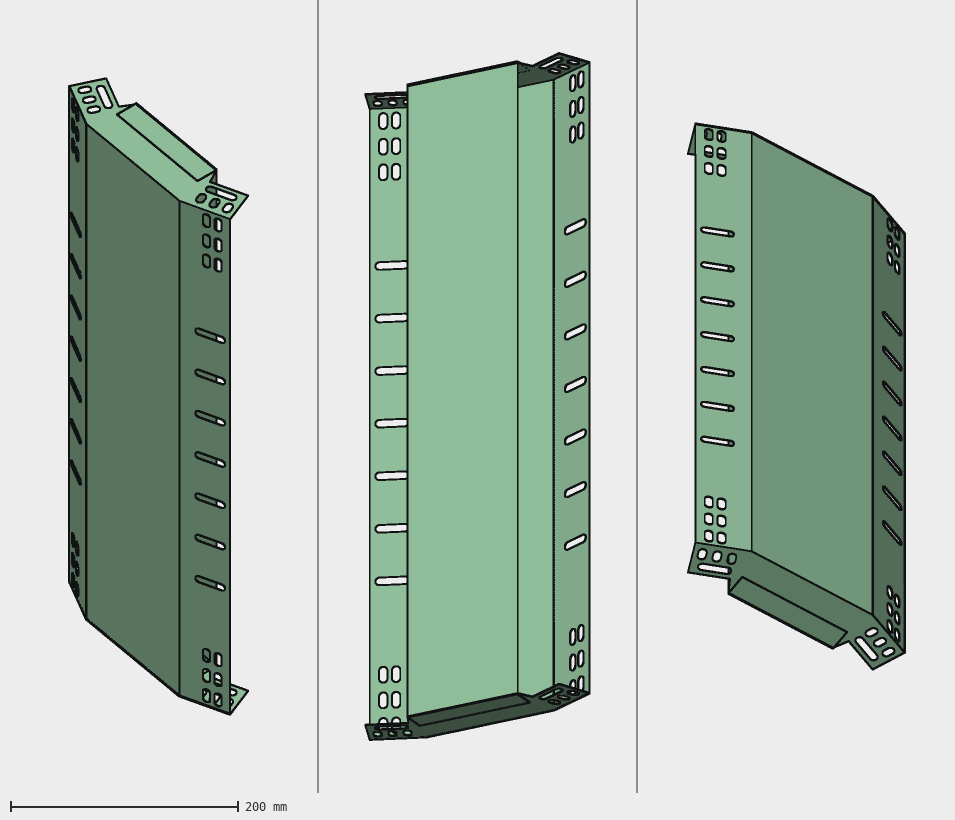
import cadquery as cq
import math

total_height = 603.0
sheet = 0.85
tray_height = total_height - 2 * sheet
wing_angle = 22.5
wing_width = 50.5
wing_wall_depth = 34.5
overall_width = 222.0

tilt = math.radians(wing_angle)
tip_x = overall_width / 2
tip_y = wing_width * math.sin(tilt)
bend_x = tip_x - wing_width * math.cos(tilt)
inner_bend_x = bend_x - sheet * math.tan(tilt / 2)

wing_wall_length = 38.0
wall_top_half_width = 55.5

cover_back = 50.5
cover_width = 111.0
cover_flange_depth = 22.5
wall_top = cover_back - sheet

slot_width = 7.0
long_slot_length = 29.5
wing_short_slot_length = 15.0
wall_short_slot_length = 11.5

wing_long_slot_inset = 20.0
wing_long_slot_count = 7
wing_long_slot_pitch = 50.0
wing_short_slot_insets = (12.0, 23.5)
wing_short_slot_rows = 3
wing_short_slot_span = 49.0
wing_short_slot_pitch = wing_short_slot_span / (wing_short_slot_rows - 1)
wing_short_slot_end_gap = 12.5

wall_long_slot_inset = 22.5
wall_long_slot_depth = 26.0
wall_short_slot_inset = 8.5
wall_short_slot_count = 3
wall_short_slot_pitch = 13.0
wall_short_slot_depth = 12.0


def wing_point(inset, depth):
    """Point on the +X wing: inset from the tip along the wing, depth square to its outer face."""
    x = tip_x - inset * math.cos(tilt) - depth * math.sin(tilt)
    y = tip_y - inset * math.sin(tilt) + depth * math.cos(tilt)
    return (x, y)


def mirrored_outline(half_points):
    """Closed outline from the points of its +X half and their mirror images."""
    return half_points + [(-x, y) for x, y in reversed(half_points)]


def extrude_outline(half_points, bottom, height):
    plane = cq.Workplane("XY").workplane(offset=bottom)
    return plane.polyline(mirrored_outline(half_points)).close().extrude(height)


def make_panel():
    """Bent front panel: a flat middle and two tilted wings."""
    half_points = [(bend_x, 0), (tip_x, tip_y), wing_point(0, sheet), (inner_bend_x, sheet)]
    return extrude_outline(half_points, -tray_height / 2, tray_height)


def make_end_wall(bottom):
    half_points = [
        (bend_x, 0),
        (tip_x, tip_y),
        wing_point(0, wing_wall_depth),
        wing_point(wing_wall_length, wing_wall_depth),
        (wall_top_half_width, wall_top),
    ]
    return extrude_outline(half_points, bottom, sheet)


def slot_cutters(plane, places, length, angle, reach):
    """Slot-shaped solids at the places on a plane, reaching out equally on both sides of it."""
    slots = cq.Workplane(plane).pushPoints(places).slot2D(length, slot_width, angle)
    return slots.extrude(reach, both=True).vals()


def wing_slot_cutters():
    """Cutters for the slots through the +X wing, square to its surface."""
    plane = cq.Plane(
        origin=(tip_x, tip_y, 0),
        xDir=(-math.cos(tilt), -math.sin(tilt), 0),
        normal=(-math.sin(tilt), math.cos(tilt), 0),
    )
    long_places = [
        (wing_long_slot_inset, (i - (wing_long_slot_count - 1) / 2) * wing_long_slot_pitch)
        for i in range(wing_long_slot_count)
    ]
    first_row = tray_height / 2 - wing_short_slot_end_gap
    short_places = [
        (inset, end * (first_row - row * wing_short_slot_pitch))
        for inset in wing_short_slot_insets
        for row in range(wing_short_slot_rows)
        for end in (-1, 1)
    ]
    long_slots = slot_cutters(plane, long_places, long_slot_length, 0, sheet)
    short_slots = slot_cutters(plane, short_places, wing_short_slot_length, 90, sheet)
    return long_slots + short_slots


def wall_slot_cutters():
    """Cutters through both end walls for the slots behind the +X wing."""
    long_place = [wing_point(wall_long_slot_inset, wall_long_slot_depth)]
    short_places = [
        wing_point(wall_short_slot_inset + i * wall_short_slot_pitch, wall_short_slot_depth)
        for i in range(wall_short_slot_count)
    ]
    long_slots = slot_cutters("XY", long_place, long_slot_length, wing_angle, tray_height)
    short_slots = slot_cutters("XY", short_places, wall_short_slot_length, wing_angle + 90, tray_height)
    return long_slots + short_slots


def make_tray():
    tray = make_panel()
    for bottom in (-tray_height / 2, tray_height / 2 - sheet):
        tray = tray.union(make_end_wall(bottom))
    for cutter in wing_slot_cutters() + wall_slot_cutters():
        tray = tray.cut(cq.Workplane(cutter))
        tray = tray.cut(cq.Workplane(cutter.mirror("YZ")))
    return tray


def make_cover():
    cover_middle = cover_back - cover_flange_depth / 2
    block = cq.Workplane("XY").box(cover_width, cover_flange_depth, total_height)
    inside = cq.Workplane("XY").box(cover_width, cover_flange_depth, tray_height)
    return block.cut(inside.translate((0, -sheet, 0))).translate((0, cover_middle, 0))


tray = make_tray()
cover = make_cover()
result = cq.Compound.makeCompound([tray.val(), cover.val()])